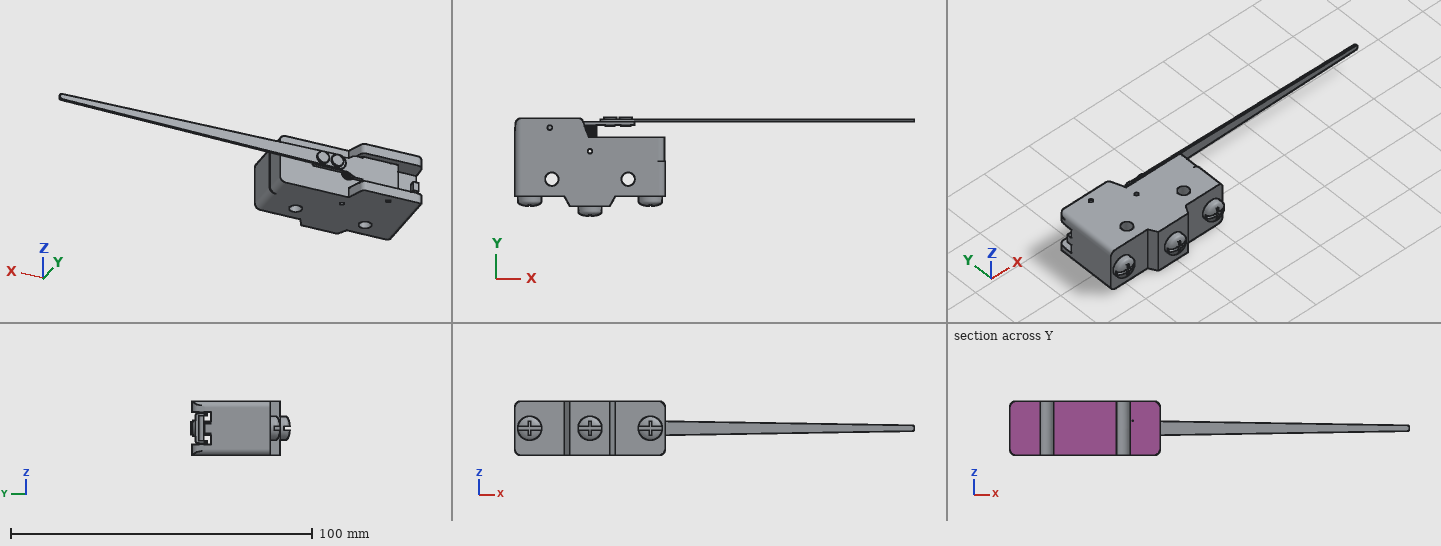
import cadquery as cq
import math


case_length = 50.0
case_width = 18.0
base_height = 11.7
cover_length = 49.8
deck_height = 19.6
case_height = 26.0
corner_radius = 2.1
lean_start = 21.6
lean_end = 23.9
lean_depth = 0.2
slope_top_x = 22.3
slope_foot_x = 24.7
slope_round = 1.6
case_middle = case_length / 2

block_depth = 3.3
block_foot_left = 16.5
block_foot_right = 33.5
block_taper = 1.9

channel_width = 10.7
tongue_width = 3.3
tongue_thickness = 2.0

mount_diameter = 4.4
mount_spacing = 25.3
mount_y = 5.7
pilot_diameter = 1.5
pilot_y = 15.0

screw_spacing = 20.0
head_radius = 4.0
head_rim = 1.7
head_height = 3.3
slot_width = 1.2
slot_depth = 2.0
cross_width = 0.8
cross_length = 4.6

bracket_top = 24.8
bracket_thickness = 1.2
bracket_width = 10.0
bracket_left = 9.0
bracket_shoulder = 24.0
bracket_neck = 28.3
bracket_right = 39.8
bracket_tip_radius = 0.8
flange_thickness = 0.8
flange_bottom = 20.8
flange_right = 21.9

pivot_x = 11.7
pivot_y = 22.8
pivot_radius = 0.8
pivot_recess = 0.7

blade_left = 28.4
blade_right = 132.7
blade_half_width = 2.7
blade_tip_half_width = 1.0
blade_tip_radius = 0.7
blade_thickness = 0.8

rivet_x = (31.7, 36.9)
rivet_radius = 2.1
rivet_top_height = 0.7
rivet_bottom_radius = 1.6
rivet_bottom_height = 0.4

plunger_radius = 2.3
plunger_groove_depth = 0.2
plunger_pitch = 0.8
plunger_sink = 0.7


def across(sketch, width):
    """Extrude an XY outline symmetrically across the middle plane."""
    return sketch.extrude(width / 2, both=True)


def along_y(x, radius, y_low, y_high):
    """Round bar along Y on the middle plane."""
    plane = cq.Plane(origin=(x, y_low, 0), xDir=(1, 0, 0), normal=(0, 1, 0))
    return cq.Workplane(plane).circle(radius).extrude(y_high - y_low)


def block(x_low, x_high, y_low, y_high, width):
    """Rectangular block centred on the middle plane."""
    size = (x_high - x_low, y_high - y_low, width)
    return cq.Workplane("XY").box(*size, centered=(False, False, True)).translate((x_low, y_low, 0))


def rounded_prism(length, y_low, y_high):
    """Prism along Y with its four long edges rounded."""
    return block(0, length, y_low, y_high, case_width).edges("|Y").fillet(corner_radius)


def make_cover():
    """Tall end and low deck, with the lever channel open along X."""
    top_round = case_height - lean_end
    arc_offset = top_round * (1 - math.sqrt(0.5))
    profile = (
        cq.Workplane("XY")
        .moveTo(0, base_height)
        .lineTo(0, lean_start)
        .lineTo(lean_depth, lean_end)
        .threePointArc(
            (lean_depth + arc_offset, case_height - arc_offset),
            (lean_depth + top_round, case_height),
        )
        .lineTo(slope_top_x, case_height)
        .lineTo(slope_foot_x, deck_height)
        .lineTo(cover_length, deck_height)
        .lineTo(cover_length, base_height)
        .close()
    )
    cover = across(profile, case_width)
    slope_edge = cq.selectors.NearestToPointSelector((slope_top_x, case_height, 0))
    cover = cover.edges(slope_edge).fillet(slope_round)
    cover = cover.intersect(rounded_prism(cover_length, base_height, case_height))
    channel = block(0, slope_foot_x, deck_height, case_height, channel_width)
    tongue = block(0, tongue_thickness, base_height, lean_start, tongue_width)
    return cover.cut(channel).union(tongue)


def make_terminal_block():
    profile = cq.Workplane("XY").polyline([
        (block_foot_left, 0),
        (block_foot_left + block_taper, -block_depth),
        (block_foot_right - block_taper, -block_depth),
        (block_foot_right, 0),
    ]).close()
    return across(profile, case_width)


def make_case():
    case = rounded_prism(case_length, 0, base_height)
    case = case.union(make_cover()).union(make_terminal_block())
    mounts = [(case_middle + side * mount_spacing / 2, mount_y) for side in (-1, 1)]
    case = case.cut(across(cq.Workplane("XY").pushPoints(mounts).circle(mount_diameter / 2), case_width))
    pilot = cq.Workplane("XY").center(case_middle, pilot_y).circle(pilot_diameter / 2)
    case = case.cut(across(pilot, case_width))
    pivot_hole = cq.Workplane("XY").center(pivot_x, pivot_y).circle(pivot_radius)
    return case.cut(across(pivot_hole, case_width))


def make_screw(x, seat_y):
    """Domed screw head with a full slot and a short cross slot."""
    dome_height = head_height - head_rim
    profile = (
        cq.Workplane("XY")
        .lineTo(head_radius, 0)
        .lineTo(head_radius, -head_rim)
        .ellipseArc(head_radius, dome_height, 270, 360, startAtCurrent=True, sense=-1)
        .close()
    )
    head = profile.revolve(360, (0, 0, 0), (0, 1, 0))
    slot_floor = slot_depth - head_height
    head = head.cut(block(-head_radius, head_radius, -head_height, slot_floor, slot_width))
    head = head.cut(block(-cross_width / 2, cross_width / 2, -head_height, slot_floor, cross_length))
    return head.translate((x, seat_y, 0))


def make_bracket():
    """Sheet plate that narrows from between two side flanges to a tongue under the blade."""
    inside_width = bracket_width - 2 * flange_thickness
    wide = inside_width / 2
    narrow = blade_half_width
    plane = cq.Plane(origin=(0, bracket_top, 0), xDir=(1, 0, 0), normal=(0, -1, 0))
    plate = (
        cq.Workplane(plane)
        .moveTo(bracket_left, -wide)
        .lineTo(bracket_shoulder, -wide)
        .spline([(bracket_neck, -narrow)], tangents=[(1, 0), (1, 0)], includeCurrent=True)
        .lineTo(bracket_right, -narrow)
        .lineTo(bracket_right, narrow)
        .lineTo(bracket_neck, narrow)
        .spline([(bracket_shoulder, wide)], tangents=[(-1, 0), (-1, 0)], includeCurrent=True)
        .lineTo(bracket_left, wide)
        .close()
        .extrude(bracket_thickness)
    )
    plate = plate.edges("|Y and >X").fillet(bracket_tip_radius)
    flanges = block(bracket_left, flange_right, flange_bottom, bracket_top, bracket_width)
    flanges = flanges.edges("|X and >Y").fillet(flange_thickness)
    hollow = block(bracket_left, flange_right, flange_bottom, bracket_top - bracket_thickness, inside_width)
    return plate.union(flanges.cut(hollow))


def make_pivot():
    pin = cq.Workplane("XY").center(pivot_x, pivot_y).circle(pivot_radius)
    return across(pin, case_width - 2 * pivot_recess)


def make_blade():
    plane = cq.Plane(origin=(0, bracket_top, 0), xDir=(1, 0, 0), normal=(0, 1, 0))
    round_x = blade_left + blade_half_width
    blade = (
        cq.Workplane(plane)
        .moveTo(round_x, blade_half_width)
        .threePointArc((blade_left, 0), (round_x, -blade_half_width))
        .lineTo(blade_right, -blade_tip_half_width)
        .lineTo(blade_right, blade_tip_half_width)
        .close()
        .extrude(blade_thickness)
    )
    return blade.edges("|Y and >X").fillet(blade_tip_radius)


def make_rivet(x):
    blade_top = bracket_top + blade_thickness
    bracket_bottom = bracket_top - bracket_thickness
    head = along_y(x, rivet_radius, blade_top, blade_top + rivet_top_height)
    tail = along_y(x, rivet_bottom_radius, bracket_bottom - rivet_bottom_height, blade_top)
    return head.union(tail)


def make_plunger():
    """Ribbed plunger standing between the deck and the bracket."""
    bracket_bottom = bracket_top - bracket_thickness
    core_radius = plunger_radius - plunger_groove_depth
    plunger = along_y(case_middle, core_radius, deck_height - plunger_sink, bracket_bottom)
    rib_count = int((bracket_bottom - deck_height) / plunger_pitch)
    for index in range(rib_count):
        rib_low = deck_height + index * plunger_pitch
        plunger = plunger.union(
            along_y(case_middle, plunger_radius, rib_low, rib_low + plunger_pitch / 2)
        )
    return plunger


result = make_case()
for side in (-1, 0, 1):
    seat = -block_depth if side == 0 else 0
    result = result.union(make_screw(case_middle + side * screw_spacing, seat))
result = result.union(make_pivot()).union(make_bracket()).union(make_plunger()).union(make_blade())
for rivet_position in rivet_x:
    result = result.union(make_rivet(rivet_position))